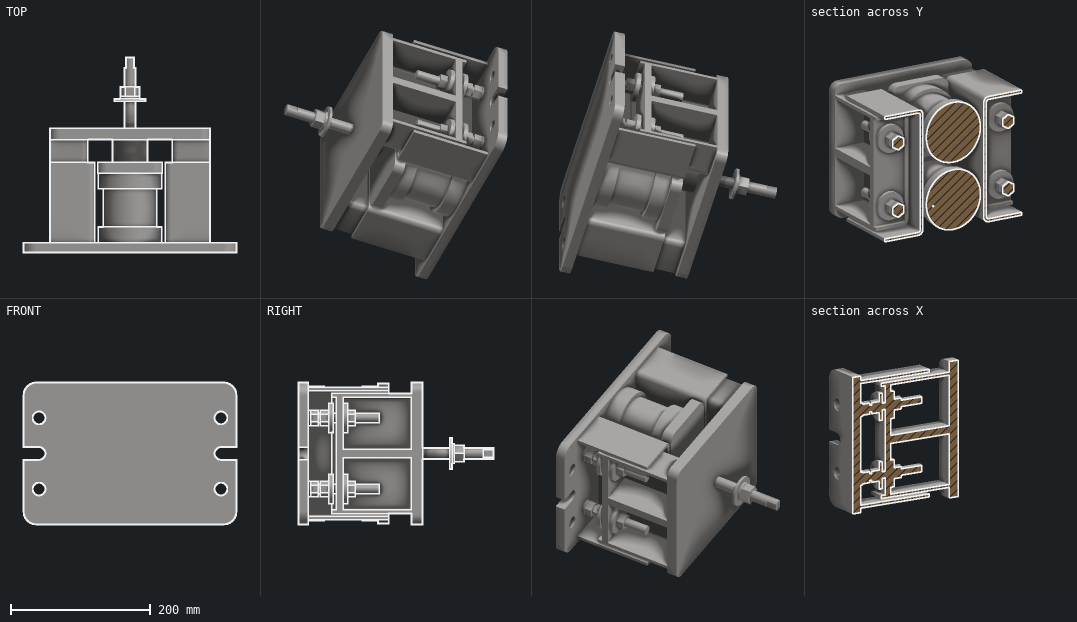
import cadquery as cq


base_width = 304.8
plate_height = 203.3
base_thickness = 14.3
base_corner_radius = 18.5
mount_x = 130.0
mount_z = 51.0
mount_hole_diameter = 18.0

rear_width = 229.2
rear_front_y = 162.0
rear_back_y = 178.0
plate_corner_radius = 13.5

rod_diameter = 16.0
rod_end_y = 279.5
rod_flat_length = 15.2
rod_flat_width = 11.5
rod_washer_y = 216.5
rod_washer_diameter = 44.5
rod_washer_thickness = 3.7
rod_collar_diameter = 28.0
rod_collar_thickness = 3.5
rod_nut_across_corners = 27.7
rod_nut_height = 13.7

cylinder_z = 51.0
ring_diameter = 91.0
ring_length = 22.5
tube_diameter = 76.8
piston_diameter = 50.5
flange_front_y = 113.7
flange_back_y = 129.5
flange_width = 93.0
flange_height = 200.5

sheet_thickness = 5.2
bend_inner_radius = 3.5
bend_outer_radius = bend_inner_radius + sheet_thickness
channel_open_x = rear_width / 2
outer_web_x = 50.3
outer_height = 190.2
outer_back_y = 129.2
inner_web_x = 60.5
inner_height = 172.0
inner_front_y = 48.0

shelf_thickness = 12.8
bulkhead_front_y = 54.3
bulkhead_back_y = 64.3

stud_x = 91.7
stud_z = 51.0
stud_diameter = 13.5
stud_end_y = 116.0
stud_nut_across_corners = 22.0
stud_collar_diameter = 22.0
stud_washer_diameter = 42.0
stud_washer_thickness = 6.0
front_washer_y = 44.0
middle_nut_y = 31.7
front_nut_y = 17.7
front_nut_height = 11.0
rear_nut_height = 11.3


def section(y, x=0, z=0):
    """Sketch plane at depth y whose local axes are X and Z."""
    return cq.Workplane("XZ", origin=(x, y, z))


def disc(x, z, y_start, y_end, diameter):
    return section(y_start, x, z).circle(diameter / 2).extrude(y_start - y_end)


def slab(y_start, y_end, width, height, corner_radius):
    blank = section(y_start).rect(width, height).extrude(y_start - y_end)
    return blank.edges("|Y").fillet(corner_radius)


def block(x_range, y_range, z_range):
    x0, x1 = x_range
    y0, y1 = y_range
    z0, z1 = z_range
    return cq.Workplane("XY").box(x1 - x0, y1 - y0, z1 - z0, centered=False).translate((x0, y0, z0))


def hex_nut(x, z, y_start, y_end, across_corners, turn=0):
    nut = section(y_start).polygon(6, across_corners).extrude(y_start - y_end)
    return nut.rotate((0, 0, 0), (0, 1, 0), turn).translate((x, 0, z))


def base_plate():
    plate = slab(0, base_thickness, base_width, plate_height, base_corner_radius)
    for side in (-1, 1):
        for z in (-mount_z, 0, mount_z):
            plate = plate.cut(disc(side * mount_x, z, 0, base_thickness, mount_hole_diameter))
        slot_x = sorted((side * mount_x, side * base_width / 2))
        half_slot = mount_hole_diameter / 2
        plate = plate.cut(block(slot_x, (0, base_thickness), (-half_slot, half_slot)))
    return plate


def draw_rod():
    rod = disc(0, 0, rear_back_y, rod_end_y, rod_diameter)
    flat_start_y = rod_end_y - rod_flat_length
    for side in (-1, 1):
        flat_x = sorted((side * rod_flat_width / 2, side * rod_diameter))
        rod = rod.cut(block(flat_x, (flat_start_y, rod_end_y), (-rod_diameter, rod_diameter)))
    collar_y = rod_washer_y + rod_washer_thickness
    nut_y = collar_y + rod_collar_thickness
    rod = rod.union(disc(0, 0, rod_washer_y, collar_y, rod_washer_diameter))
    rod = rod.union(disc(0, 0, collar_y, nut_y, rod_collar_diameter))
    return rod.union(hex_nut(0, 0, nut_y, nut_y + rod_nut_height, rod_nut_across_corners))


def cylinder(z):
    body = disc(0, z, base_thickness, flange_front_y, tube_diameter)
    for ring_y in (base_thickness, flange_front_y - ring_length):
        body = body.union(disc(0, z, ring_y, ring_y + ring_length, ring_diameter))
    return body


def channel(y_start, y_end, web_x, height):
    """Bent sheet channel on the -X side: web at -web_x, open toward -X."""
    half = height / 2
    outside = block((-channel_open_x, -web_x), (y_start, y_end), (-half, half))
    outside = outside.edges("|Y and >X").fillet(bend_outer_radius)
    inside_half = half - sheet_thickness
    inside_x = (-channel_open_x, -web_x - sheet_thickness)
    inside = block(inside_x, (y_start, y_end), (-inside_half, inside_half))
    inside = inside.edges("|Y and >X").fillet(bend_inner_radius)
    return outside.cut(inside)


def stiffeners():
    """Shelf and bulkhead; both reach half a sheet deep into the web so that they fuse with it."""
    half_bulkhead = inner_height / 2 - sheet_thickness
    inside_x = (-channel_open_x, -inner_web_x - sheet_thickness / 2)
    shelf_y = (bulkhead_back_y, rear_front_y)
    shelf = block(inside_x, shelf_y, (-shelf_thickness / 2, shelf_thickness / 2))
    bulkhead_y = (bulkhead_front_y, bulkhead_back_y)
    return shelf.union(block(inside_x, bulkhead_y, (-half_bulkhead, half_bulkhead)))


def stud(z):
    x = -stud_x
    middle_nut = (middle_nut_y, front_washer_y)
    front_nut = (front_nut_y, front_nut_y + front_nut_height)
    rear_washer_end_y = bulkhead_back_y + stud_washer_thickness
    rear_nut = (rear_washer_end_y, rear_washer_end_y + rear_nut_height)

    body = disc(x, z, base_thickness, stud_end_y, stud_diameter)
    body = body.union(disc(x, z, base_thickness, front_nut_y, stud_collar_diameter))
    for washer_y in (front_washer_y, bulkhead_back_y):
        washer_end_y = washer_y + stud_washer_thickness
        body = body.union(disc(x, z, washer_y, washer_end_y, stud_washer_diameter))
    for nut_start_y, nut_end_y in (front_nut, middle_nut, rear_nut):
        body = body.union(hex_nut(x, z, nut_start_y, nut_end_y, stud_nut_across_corners, turn=90))
    return body


def side_frame():
    """Channels, stiffeners and studs on the -X side."""
    frame = channel(base_thickness, outer_back_y, outer_web_x, outer_height)
    frame = frame.union(channel(inner_front_y, rear_front_y, inner_web_x, inner_height))
    frame = frame.union(stiffeners())
    for z in (-stud_z, stud_z):
        frame = frame.union(stud(z))
    return frame


left_frame = side_frame()

result = base_plate()
result = result.union(slab(rear_front_y, rear_back_y, rear_width, plate_height, plate_corner_radius))
result = result.union(draw_rod())
result = result.union(slab(flange_front_y, flange_back_y, flange_width, flange_height, plate_corner_radius))
result = result.union(disc(0, 0, flange_back_y, rear_front_y, piston_diameter))
for z in (-cylinder_z, cylinder_z):
    result = result.union(cylinder(z))
result = result.union(left_frame)
result = result.union(left_frame.mirror("YZ"))